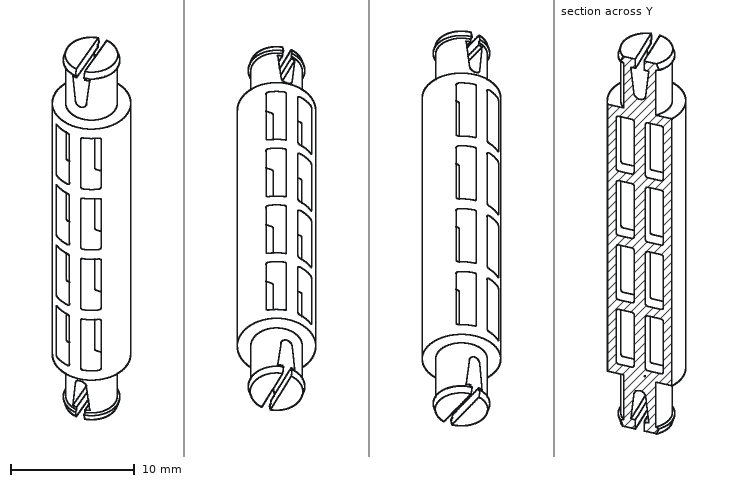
import cadquery as cq
import math

total_length = 37.68
body_diameter = 6.35
body_length = 27.2

pin_diameter = 4.2
lip_diameter = 4.6
lip_tip_diameter = 4.25
lip_height = 0.6
lip_undercut = 0.1

mouth_width = 0.75
mouth_depth = 0.98
pocket_top_width = 1.5
pocket_depth = 4.0
pocket_bottom_radius = 0.5

window_rows = 4
rib_thickness = 1.0
window_width = 1.5
window_corner_radius = 0.2

half_length = total_length / 2
half_body = body_length / 2
window_height = (body_length - (window_rows + 1) * rib_thickness) / window_rows
row_pitch = window_height + rib_thickness
column_offset = (window_width + rib_thickness) / 2
web_face = rib_thickness / 2


def make_turned_blank():
    """Body and both pins as one turned solid."""
    lip_edge = half_length - lip_height
    upper_outline = [
        (body_diameter / 2, half_body),
        (pin_diameter / 2, half_body),
        (pin_diameter / 2, lip_edge - lip_undercut),
        (lip_diameter / 2, lip_edge),
        (lip_tip_diameter / 2, half_length),
        (0, half_length),
    ]
    lower_outline = [(radius, -z) for radius, z in reversed(upper_outline)]
    return cq.Workplane("XZ").polyline(lower_outline + upper_outline).close().revolve(360, (0, 0), (0, 1))


def make_pin_slot():
    """Cutter for the upper pin's slot, running right through along Y."""
    shoulder = half_length - mouth_depth
    arc_center = half_length - pocket_depth + pocket_bottom_radius
    half_top = pocket_top_width / 2
    rise = shoulder - arc_center
    reach = math.hypot(half_top, rise)
    tangent_angle = math.atan2(rise, half_top) - math.acos(pocket_bottom_radius / reach)
    tangent_x = pocket_bottom_radius * math.cos(tangent_angle)
    tangent_z = arc_center + pocket_bottom_radius * math.sin(tangent_angle)
    return (
        cq.Workplane("XZ")
        .moveTo(-mouth_width / 2, half_length)
        .lineTo(-mouth_width / 2, shoulder)
        .lineTo(-half_top, shoulder)
        .lineTo(-tangent_x, tangent_z)
        .threePointArc((0, half_length - pocket_depth), (tangent_x, tangent_z))
        .lineTo(half_top, shoulder)
        .lineTo(mouth_width / 2, shoulder)
        .lineTo(mouth_width / 2, half_length)
        .close()
        .extrude(lip_diameter, both=True)
    )


def make_front_windows():
    """Cutter for the two columns of windows on the -Y side, down to the web."""
    return (
        cq.Workplane("XZ", origin=(0, -web_face, 0))
        .rarray(2 * column_offset, row_pitch, 2, window_rows)
        .rect(window_width, window_height)
        .extrude(body_diameter / 2)
        .edges("|Y")
        .fillet(window_corner_radius)
    )


pin_slot = make_pin_slot()
front_windows = make_front_windows()

result = make_turned_blank()
result = result.cut(pin_slot).cut(pin_slot.mirror("XY"))
result = result.cut(front_windows).cut(front_windows.mirror("XZ"))